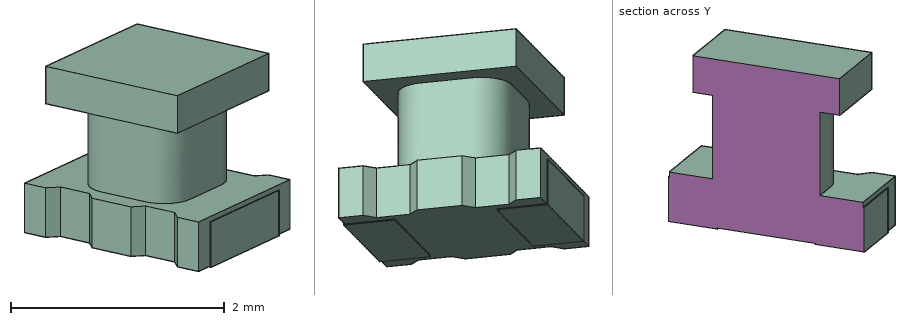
import cadquery as cq

overall_length = 2.0
overall_height = 1.7
flange_width = 1.5

plating = 0.01
terminal_width = 1.12
terminal_height = 0.45
terminal_foot = 0.5

base_length = overall_length - 2 * plating
base_top = 0.5

notch_center = 0.485
notch_mouth = 0.53
notch_depth = 0.1
notch_floor = notch_mouth - 2 * notch_depth

post_side = 1.1
post_radius = 0.3
cap_thickness = 0.37
cap_bottom = overall_height - cap_thickness


def block(length, width, bottom, top):
    """Box centred on the Z axis, spanning bottom to top."""
    return (
        cq.Workplane("XY")
        .workplane(offset=bottom)
        .rect(length, width)
        .extrude(top - bottom)
    )


def notch(center_x, side):
    """Trapezoidal cutter on the +Y (side = 1) or -Y (side = -1) face of the base."""
    mouth_y = side * flange_width / 2
    floor_y = side * (flange_width / 2 - notch_depth)
    return (
        cq.Workplane("XY")
        .moveTo(center_x - notch_mouth / 2, mouth_y)
        .lineTo(center_x - notch_floor / 2, floor_y)
        .lineTo(center_x + notch_floor / 2, floor_y)
        .lineTo(center_x + notch_mouth / 2, mouth_y)
        .close()
        .extrude(base_top)
    )


def terminal(side):
    """L-shaped plating on the +X (side = 1) or -X (side = -1) end of the base."""
    outer_x = side * overall_length / 2
    inner_x = side * base_length / 2
    foot_x = side * (overall_length / 2 - terminal_foot)
    return (
        cq.Workplane("XZ")
        .moveTo(outer_x, 0)
        .lineTo(outer_x, terminal_height)
        .lineTo(inner_x, terminal_height)
        .lineTo(inner_x, plating)
        .lineTo(foot_x, plating)
        .lineTo(foot_x, 0)
        .close()
        .extrude(terminal_width / 2, both=True)
    )


def notched_base():
    base = block(base_length, flange_width, plating, base_top)
    for side in (-1, 1):
        for center_x in (-notch_center, notch_center):
            base = base.cut(notch(center_x, side))
    return base


post = block(post_side, post_side, base_top, cap_bottom).edges("|Z").fillet(post_radius)
cap = block(flange_width, flange_width, cap_bottom, overall_height)

result = notched_base().union(post).union(cap)
for end in (-1, 1):
    result = result.union(terminal(end))